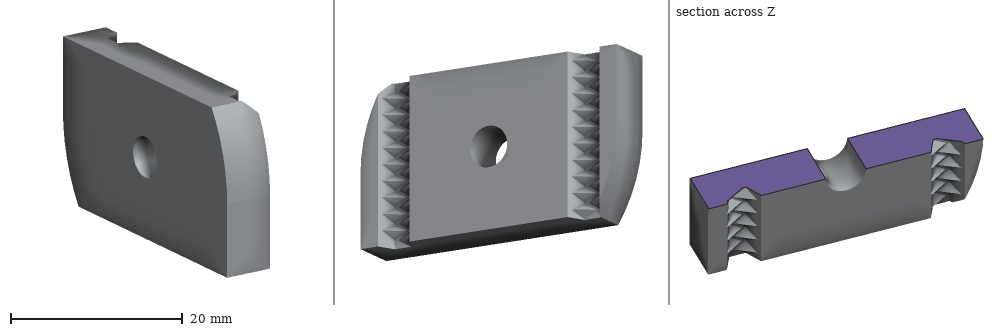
import cadquery as cq
import math

LENGTH = 34.5
THICKNESS = 6.0
HEIGHT = 20.0
CORNER_RADIUS = 20.0
CORNER_RISE = 10.97
HOLE_DIAMETER = 5.0

GROOVE_INSET = 4.5
GROOVE_MOUTH = 4.28
GROOVE_FLOOR = 2.07
GROOVE_DEPTH = 2.07

TOOTH_TOP_DEPTH = 0.52
TOOTH_REACH = 1.6
TOOTH_LENGTH = 1.85
TOOTH_PITCH = 2.0
TEETH_PER_GROOVE = 19

half_length = LENGTH / 2
half_height = HEIGHT / 2
back_y = THICKNESS / 2
floor_y = back_y - GROOVE_DEPTH
groove_x = half_length - GROOVE_INSET


def corner_inset(rise):
    """Sideways distance of the corner arc from the plate end, at a height above its tangent point."""
    return CORNER_RADIUS - math.sqrt(CORNER_RADIUS**2 - rise**2)


def make_plate():
    end_x = half_length - corner_inset(CORNER_RISE)
    middle_x = half_length - corner_inset(CORNER_RISE / 2)
    tangent_z = half_height - CORNER_RISE
    middle_z = half_height - CORNER_RISE / 2
    return (
        cq.Workplane("XZ")
        .moveTo(-half_length, half_height)
        .lineTo(end_x, half_height)
        .threePointArc((middle_x, middle_z), (half_length, tangent_z))
        .lineTo(half_length, -half_height)
        .lineTo(-end_x, -half_height)
        .threePointArc((-middle_x, -middle_z), (-half_length, -tangent_z))
        .close()
        .extrude(back_y, both=True)
    )


def make_groove(center_x):
    return (
        cq.Workplane("XY")
        .polyline([
            (center_x - GROOVE_MOUTH / 2, back_y),
            (center_x - GROOVE_FLOOR / 2, floor_y),
            (center_x + GROOVE_FLOOR / 2, floor_y),
            (center_x + GROOVE_MOUTH / 2, back_y),
        ])
        .close()
        .extrude(half_height, both=True)
    )


def make_tooth(center_x, side, z):
    """Four-faced wedge on one groove wall (side -1 or +1), its ridge sloping down to the floor."""
    wall_run = (GROOVE_MOUTH - GROOVE_FLOOR) / 2
    top_offset = GROOVE_MOUTH / 2 - wall_run * TOOTH_TOP_DEPTH / GROOVE_DEPTH
    tip_offset = GROOVE_FLOOR / 2 - TOOTH_REACH
    root_x = center_x + side * GROOVE_FLOOR / 2
    top = cq.Vector(center_x + side * top_offset, back_y - TOOTH_TOP_DEPTH, z)
    tip = cq.Vector(center_x + side * tip_offset, floor_y, z)
    root_low = cq.Vector(root_x, floor_y, z - TOOTH_LENGTH / 2)
    root_high = cq.Vector(root_x, floor_y, z + TOOTH_LENGTH / 2)
    triangles = [
        (top, tip, root_low),
        (top, root_high, tip),
        (top, root_low, root_high),
        (tip, root_high, root_low),
    ]
    faces = [cq.Face.makeFromWires(cq.Wire.makePolygon(list(t), close=True)) for t in triangles]
    return cq.Solid.makeSolid(cq.Shell.makeShell(faces)).fix()


def make_teeth(center_x):
    """Two staggered rows of teeth; half a turn about Y carries one groove onto the other."""
    first_side = 1 if center_x < 0 else -1
    teeth = []
    for index in range(TEETH_PER_GROOVE):
        side = first_side if index % 2 == 0 else -first_side
        z = half_height - (index + 1) * TOOTH_PITCH / 2
        teeth.append(make_tooth(center_x, side, z))
    return teeth


plate = make_plate()
body = plate
for center_x in (-groove_x, groove_x):
    body = body.cut(make_groove(center_x))
    for tooth in make_teeth(center_x):
        body = body.union(cq.Workplane(obj=tooth))

body = body.intersect(plate)

hole = cq.Workplane("XZ").circle(HOLE_DIAMETER / 2).extrude(back_y, both=True)
result = body.cut(hole)